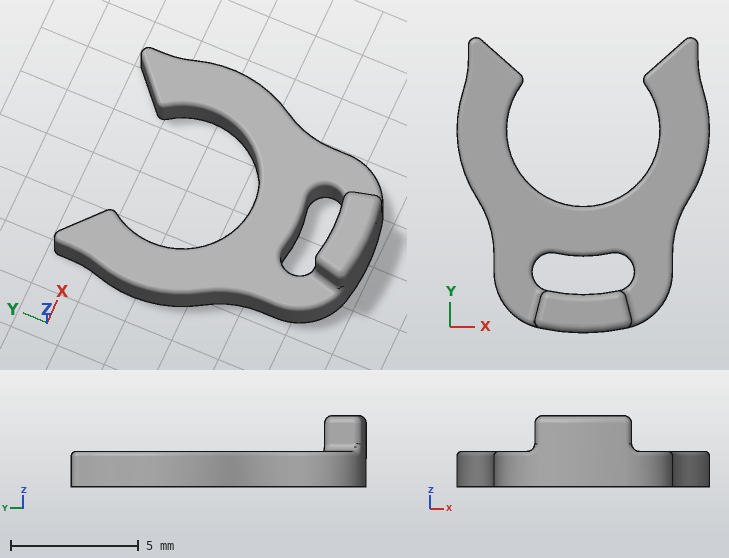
import cadquery as cq
import math

plate_thickness = 1.4
total_height = 2.8

bore_radius = 3.0
ring_radius = 4.95
arm_half_width = 4.5
tail_half_width = 3.5
waist_radius = 4.0
mouth_angle = 41.5
arm_corner_radius = 0.3

slot_path_radius = 5.7
slot_half_width = 0.75
slot_end_x = 1.25
rim_width = 1.5

tab_half_angle = 14.3
tab_fillet = 0.3
tab_top_fillet = 0.31
edge_fillet = 0.2
tolerance = 0.001

slot_inner_radius = slot_path_radius - slot_half_width
slot_outer_radius = slot_path_radius + slot_half_width
tail_radius = slot_outer_radius + rim_width
slot_end_y = -math.sqrt(slot_path_radius**2 - slot_end_x**2)
slot_end_angle = math.degrees(math.atan2(slot_end_x, -slot_end_y))
tail_corner_radius = slot_half_width + rim_width
tail_corner_angle = -(90 - slot_end_angle) / 2


def polar(radius, angle):
    """Point at an angle in degrees, counted from the X axis."""
    return (radius * math.cos(math.radians(angle)), radius * math.sin(math.radians(angle)))


def mirrored(point):
    """Same point on the other side of the YZ plane."""
    return (-point[0], point[1])


def waist(flank_x, side):
    """Hollow arc tangent to the ring and to a vertical flank.

    Returns its ring end, middle and flank end; side is +1 above the bore centre, -1 below.
    """
    reach = ring_radius + waist_radius
    center_x = flank_x + waist_radius
    center_y = side * math.sqrt(reach**2 - center_x**2)
    tilt = math.degrees(math.atan2(center_y, center_x))
    ring_end = polar(ring_radius, tilt)
    offset = polar(waist_radius, 180 + tilt / 2)
    middle = (center_x + offset[0], center_y + offset[1])
    return ring_end, middle, (flank_x, center_y)


mouth_corners = (
    polar(bore_radius, mouth_angle),
    polar(arm_half_width / math.cos(math.radians(mouth_angle)), mouth_angle),
)


def make_outline():
    """Closed outline of the plate with the mouth corners still sharp."""
    arm_ring, arm_middle, arm_flank = waist(arm_half_width, 1)
    tail_ring, tail_middle, tail_flank = waist(tail_half_width, -1)
    lip, tip = mouth_corners
    corner_start = (tail_half_width, slot_end_y)
    corner_turn = polar(tail_corner_radius, tail_corner_angle)
    corner_middle = (slot_end_x + corner_turn[0], slot_end_y + corner_turn[1])
    corner_end = polar(tail_radius, slot_end_angle - 90)
    return (
        cq.Workplane("XY")
        .moveTo(*lip)
        .lineTo(*tip)
        .lineTo(*arm_flank)
        .threePointArc(arm_middle, arm_ring)
        .threePointArc((ring_radius, 0), tail_ring)
        .threePointArc(tail_middle, tail_flank)
        .lineTo(*corner_start)
        .threePointArc(corner_middle, corner_end)
        .threePointArc((0, -tail_radius), mirrored(corner_end))
        .threePointArc(mirrored(corner_middle), mirrored(corner_start))
        .lineTo(*mirrored(tail_flank))
        .threePointArc(mirrored(tail_middle), mirrored(tail_ring))
        .threePointArc((-ring_radius, 0), mirrored(arm_ring))
        .threePointArc(mirrored(arm_middle), mirrored(arm_flank))
        .lineTo(*mirrored(tip))
        .lineTo(*mirrored(lip))
        .threePointArc((0, -bore_radius), lip)
        .close()
    )


def make_slot():
    """Curved slot with round ends, as a cutting body."""
    left = 270 - slot_end_angle
    right = 270 + slot_end_angle
    end_out = polar(slot_half_width, right + 90)
    end_middle = (slot_end_x + end_out[0], slot_end_y + end_out[1])
    return (
        cq.Workplane("XY")
        .moveTo(*polar(slot_inner_radius, left))
        .threePointArc((0, -slot_inner_radius), polar(slot_inner_radius, right))
        .threePointArc(end_middle, polar(slot_outer_radius, right))
        .threePointArc((0, -slot_outer_radius), polar(slot_outer_radius, left))
        .threePointArc(mirrored(end_middle), polar(slot_inner_radius, left))
        .close()
        .extrude(total_height)
    )


def make_tab():
    """Block between the slot and the tail edge, with radial side walls."""
    left = 270 - tab_half_angle
    right = 270 + tab_half_angle
    sector = (
        cq.Workplane("XY")
        .moveTo(*polar(slot_path_radius, left))
        .lineTo(*polar(slot_path_radius, right))
        .lineTo(*polar(tail_radius, right))
        .threePointArc((0, -tail_radius), polar(tail_radius, left))
        .close()
        .extrude(total_height)
    )
    return sector.intersect(make_outline().extrude(total_height))


def round_arm_corners(plate):
    """Round the lip and the tip at both sides of the mouth."""
    corners = [
        edge
        for point in mouth_corners
        for edge in plate.edges("|Z").vals()
        if math.hypot(abs(edge.Center().x) - point[0], edge.Center().y - point[1]) < tolerance
    ]
    return plate.newObject(corners).fillet(arm_corner_radius)


def is_plate_rim(edge):
    """Edge lying in the plate top."""
    box = edge.BoundingBox()
    return abs(box.zmin - plate_thickness) < tolerance and box.zlen < tolerance


def is_foot(edge):
    """Straight edge where a tab side wall meets the plate top."""
    behind_slot = edge.BoundingBox().ymax < -slot_path_radius
    return is_plate_rim(edge) and edge.geomType() == "LINE" and behind_slot


def is_tab_corner(edge):
    """Upright edge of the tab, above the foot fillets."""
    box = edge.BoundingBox()
    return box.zmin > plate_thickness + tolerance and edge.geomType() == "LINE" and box.zlen > tolerance


def is_tab_top(edge):
    """Edge lying in the tab top."""
    return edge.BoundingBox().zmin > total_height - tolerance


def fillet_edges(body, groups):
    """Fillet several groups of edges at once, each with its own radius.

    The rounding blends smoothly where two groups run into each other.
    """
    maker = cq.occ_impl.shapes.BRepFilletAPI_MakeFillet(body.solids().val().wrapped)
    for belongs, radius in groups:
        for edge in body.edges().vals():
            if belongs(edge):
                maker.Add(radius, edge.wrapped)
    return cq.Workplane(cq.Shape.cast(maker.Shape()))


plate = round_arm_corners(make_outline().extrude(plate_thickness))
body = plate.union(make_tab()).cut(make_slot())
body = fillet_edges(body, [(is_foot, tab_fillet)])
body = fillet_edges(body, [(is_tab_corner, tab_fillet), (is_plate_rim, edge_fillet)])
result = fillet_edges(body, [(is_tab_top, tab_top_fillet)])